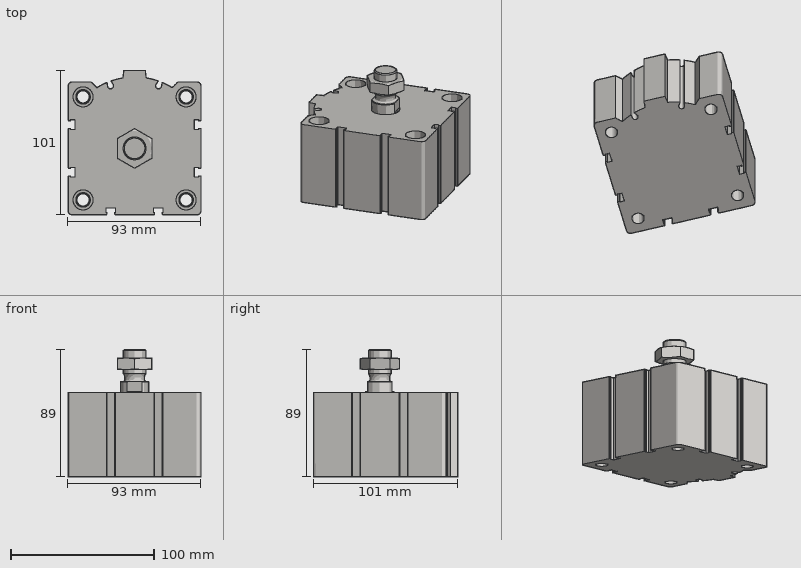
import cadquery as cq
import math


housing_side = 93.0
housing_height = 59.0
corner_radius = 3.0
half_side = housing_side / 2

crown_radius = 50.0
shoulder_x = 30.3
rail_top_y = 54.5
rail_top_half_width = 7.6
rail_root_half_width = 8.2

groove_angle = 21.0
groove_diameter = 4.0
groove_center_radius = 46.8
groove_mouth_width = 2.9

slot_offset = 16.6
slot_mouth_width = 5.2
slot_inner_width = 6.5
slot_depth = 4.8
slot_lip = 1.7
slot_edge_chamfer = 0.5

hole_offset = 36.0
hole_diameter = 8.5
counterbore_diameter = 14.0
counterbore_depth = 9.0
countersink_diameter = 10.2

rod_diameter = 20.0
rod_shoulder_height = 7.75
rod_shoulder_chamfer = 0.4
rod_flats_width = 17.0
rod_flats_start = 0.5
neck_diameter = 13.9
neck_fillet_height = 0.95
neck_top_height = 10.2
thread_start_height = 13.25
thread_diameter = 16.0
thread_tip_diameter = 14.38
rod_length = 30.0

nut_across_flats = 24.0
nut_thickness = 8.0
nut_base_height = 16.0
nut_face_diameter = 23.8
nut_chamfer_angle = 15.0
nut_turn = 30.0


def crown_y(x):
    """Height of the crown arc at x."""
    return math.sqrt(crown_radius**2 - x**2)


def housing_outline():
    """Closed plan of the housing, without slots and grooves."""
    shoulder_sum = half_side - shoulder_x
    crown_end_x = (math.sqrt(2 * crown_radius**2 - shoulder_sum**2) - shoulder_sum) / 2
    crown_mid_x = (crown_end_x + rail_root_half_width) / 2
    return (
        cq.Workplane("XY")
        .moveTo(-half_side, -half_side)
        .lineTo(half_side, -half_side)
        .lineTo(half_side, half_side)
        .lineTo(shoulder_x, half_side)
        .lineTo(crown_end_x, crown_y(crown_end_x))
        .threePointArc(
            (crown_mid_x, crown_y(crown_mid_x)),
            (rail_root_half_width, crown_y(rail_root_half_width)),
        )
        .lineTo(rail_top_half_width, rail_top_y)
        .lineTo(-rail_top_half_width, rail_top_y)
        .lineTo(-rail_root_half_width, crown_y(rail_root_half_width))
        .threePointArc(
            (-crown_mid_x, crown_y(crown_mid_x)),
            (-crown_end_x, crown_y(crown_end_x)),
        )
        .lineTo(-shoulder_x, half_side)
        .lineTo(-half_side, half_side)
        .close()
    )


def slot_cutter(offset, turn):
    """Undercut slot with a chamfered mouth in the -Y face at x = offset, turned about Z."""
    mouth_half = slot_mouth_width / 2
    inner_half = slot_inner_width / 2
    right_side = [
        (mouth_half + slot_edge_chamfer, 0),
        (mouth_half, slot_edge_chamfer),
        (mouth_half, slot_lip),
        (inner_half, slot_lip),
        (inner_half, slot_depth),
    ]
    left_side = [(-x, depth) for x, depth in reversed(right_side)]
    cutter = (
        cq.Workplane("XY")
        .center(offset, -half_side)
        .polyline(right_side + left_side)
        .close()
        .extrude(housing_height)
    )
    return cutter.rotate((0, 0, 0), (0, 0, 1), turn)


def groove_cutter(angle):
    """Round-bottomed groove narrowing to its mouth, turned from +Y by the angle."""
    radius = groove_diameter / 2
    half_mouth = groove_mouth_width / 2
    profile = (
        cq.Workplane("XY")
        .moveTo(-half_mouth, crown_radius)
        .lineTo(-radius, groove_center_radius)
        .threePointArc((0, groove_center_radius - radius), (radius, groove_center_radius))
        .lineTo(half_mouth, crown_radius)
        .close()
    )
    return profile.extrude(housing_height).rotate((0, 0, 0), (0, 0, 1), angle)


def mounting_hole_cutter(x, y):
    """Through hole with a 45 degree countersink under a flat counterbore."""
    hole_radius = hole_diameter / 2
    sink_radius = countersink_diameter / 2
    bore_radius = counterbore_diameter / 2
    bore_floor = housing_height - counterbore_depth
    return (
        cq.Workplane("XZ")
        .lineTo(hole_radius, 0)
        .lineTo(hole_radius, bore_floor - (sink_radius - hole_radius))
        .lineTo(sink_radius, bore_floor)
        .lineTo(bore_radius, bore_floor)
        .lineTo(bore_radius, housing_height)
        .lineTo(0, housing_height)
        .close()
        .revolve(360, (0, 0, 0), (0, 1, 0))
        .translate((x, y, 0))
    )


def make_housing():
    body = housing_outline().extrude(housing_height)
    for x in (-half_side, half_side):
        for y in (-half_side, half_side):
            corner = cq.selectors.NearestToPointSelector((x, y, housing_height / 2))
            body = body.edges("|Z").edges(corner).fillet(corner_radius)
    for turn in (-90, 0, 90):
        for offset in (-slot_offset, slot_offset):
            body = body.cut(slot_cutter(offset, turn))
    for angle in (-groove_angle, groove_angle):
        body = body.cut(groove_cutter(angle))
    for x in (-hole_offset, hole_offset):
        for y in (-hole_offset, hole_offset):
            body = body.cut(mounting_hole_cutter(x, y))
    return body


def concave_arc_middle(neck_radius, rise, run):
    """Middle of an arc tangent to the neck: (radius, axial distance from the neck end)."""
    arc_radius = (rise**2 + run**2) / (2 * rise)
    half_sweep = math.asin(run / arc_radius) / 2
    return neck_radius + arc_radius * (1 - math.cos(half_sweep)), arc_radius * math.sin(half_sweep)


def make_rod():
    """Rod end standing on the housing, with a necked undercut and two wrench flats."""
    rod_radius = rod_diameter / 2
    neck_radius = neck_diameter / 2
    thread_radius = thread_diameter / 2
    tip_radius = thread_tip_diameter / 2
    tip_chamfer = thread_radius - tip_radius
    neck_base_height = rod_shoulder_height + neck_fillet_height

    base_mid_radius, base_mid_run = concave_arc_middle(
        neck_radius, neck_fillet_height, neck_fillet_height
    )
    runout_mid_radius, runout_mid_run = concave_arc_middle(
        neck_radius, thread_radius - neck_radius, thread_start_height - neck_top_height
    )
    rod = (
        cq.Workplane("XZ")
        .lineTo(rod_radius, 0)
        .lineTo(rod_radius, rod_shoulder_height - rod_shoulder_chamfer)
        .lineTo(rod_radius - rod_shoulder_chamfer, rod_shoulder_height)
        .lineTo(neck_radius + neck_fillet_height, rod_shoulder_height)
        .threePointArc(
            (base_mid_radius, neck_base_height - base_mid_run),
            (neck_radius, neck_base_height),
        )
        .lineTo(neck_radius, neck_top_height)
        .threePointArc(
            (runout_mid_radius, neck_top_height + runout_mid_run),
            (thread_radius, thread_start_height),
        )
        .lineTo(thread_radius, rod_length - tip_chamfer)
        .lineTo(tip_radius, rod_length)
        .lineTo(0, rod_length)
        .close()
        .revolve(360, (0, 0, 0), (0, 1, 0))
    )
    flat_depth = (rod_diameter - rod_flats_width) / 2
    flat_height = rod_shoulder_height - rod_flats_start
    for side in (-1, 1):
        flat = cq.Workplane("XY").box(
            rod_diameter, flat_depth, flat_height, centered=(True, True, False)
        )
        flat_y = side * (rod_flats_width + flat_depth) / 2
        rod = rod.cut(flat.translate((0, flat_y, rod_flats_start)))
    return rod.translate((0, 0, housing_height))


def make_nut():
    """Hexagon nut with two corners on the Y axis and both faces chamfered conically."""
    nut_corner_radius = nut_across_flats / math.sqrt(3)
    face_radius = nut_face_diameter / 2
    chamfer_drop = (nut_corner_radius - face_radius) * math.tan(math.radians(nut_chamfer_angle))
    hexagon = (
        cq.Workplane("XY")
        .polygon(6, 2 * nut_corner_radius)
        .extrude(nut_thickness)
        .rotate((0, 0, 0), (0, 0, 1), nut_turn)
    )
    envelope = (
        cq.Workplane("XZ")
        .lineTo(face_radius, 0)
        .lineTo(nut_corner_radius, chamfer_drop)
        .lineTo(nut_corner_radius, nut_thickness - chamfer_drop)
        .lineTo(face_radius, nut_thickness)
        .lineTo(0, nut_thickness)
        .close()
        .revolve(360, (0, 0, 0), (0, 1, 0))
    )
    bore = cq.Workplane("XY").circle(thread_diameter / 2).extrude(nut_thickness)
    nut = hexagon.intersect(envelope).cut(bore)
    return nut.translate((0, 0, housing_height + nut_base_height))


housing = make_housing()
rod = make_rod()
nut = make_nut()

result = cq.Compound.makeCompound([housing.val(), rod.val(), nut.val()])